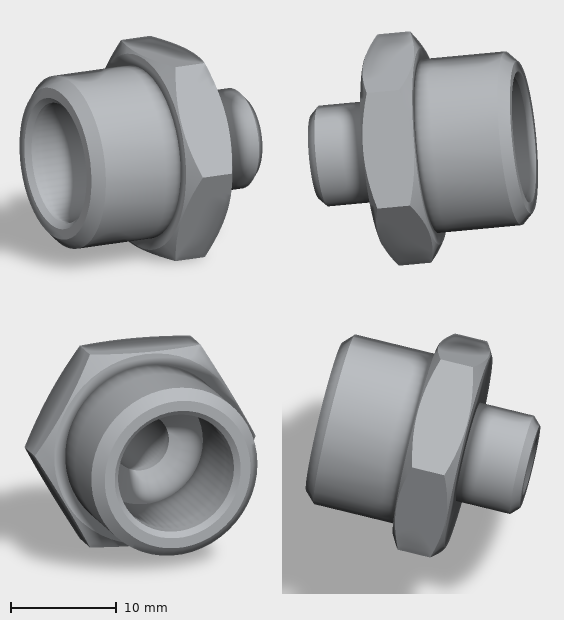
import cadquery as cq
import math


hex_across_corners = 21.95
hex_length = 5.0
hex_face_diameter = 18.7
hex_chamfer_angle = 30.0

large_diameter = 16.5
large_length = 9.0
large_chamfer = 1.0
small_diameter = 9.57
small_length = 6.01
small_chamfer = 0.77

mouth_diameter = 12.5
bore_diameter = 11.5
through_diameter = 5.53
bore_depth = 10.0
bore_cone_angle = 136.0

front_end = -large_length
back_end = hex_length + small_length


def revolve_about_y(points):
    """Revolve a closed (radius, y) outline about the Y axis."""
    return cq.Workplane("XY").polyline(points).close().revolve(360, (0, 0, 0), (0, 1, 0))


def make_hexagon():
    """Hexagonal prism whose corners are turned down by a cone at both ends."""
    corner_radius = hex_across_corners / 2
    face_radius = hex_face_diameter / 2
    corner_drop = (corner_radius - face_radius) * math.tan(math.radians(hex_chamfer_angle))
    prism = cq.Workplane("XZ").polygon(6, hex_across_corners).extrude(-hex_length)
    envelope = revolve_about_y([
        (0, 0),
        (face_radius, 0),
        (corner_radius, corner_drop),
        (corner_radius, hex_length - corner_drop),
        (face_radius, hex_length),
        (0, hex_length),
    ])
    return prism.intersect(envelope)


def make_spigots():
    """Large and small cylinders, each chamfered at its free end."""
    large_radius = large_diameter / 2
    small_radius = small_diameter / 2
    return revolve_about_y([
        (0, front_end),
        (large_radius - large_chamfer, front_end),
        (large_radius, front_end + large_chamfer),
        (large_radius, 0),
        (small_radius, 0),
        (small_radius, back_end - small_chamfer),
        (small_radius - small_chamfer, back_end),
        (0, back_end),
    ])


def make_bore():
    """Bore with a 45 degree mouth, narrowing through a cone to the through hole."""
    mouth_radius = mouth_diameter / 2
    bore_radius = bore_diameter / 2
    through_radius = through_diameter / 2
    mouth_depth = mouth_radius - bore_radius
    cone_start = front_end + bore_depth
    cone_length = (bore_radius - through_radius) / math.tan(math.radians(bore_cone_angle / 2))
    return revolve_about_y([
        (0, front_end),
        (mouth_radius, front_end),
        (bore_radius, front_end + mouth_depth),
        (bore_radius, cone_start),
        (through_radius, cone_start + cone_length),
        (through_radius, back_end),
        (0, back_end),
    ])


result = make_hexagon().union(make_spigots()).cut(make_bore())